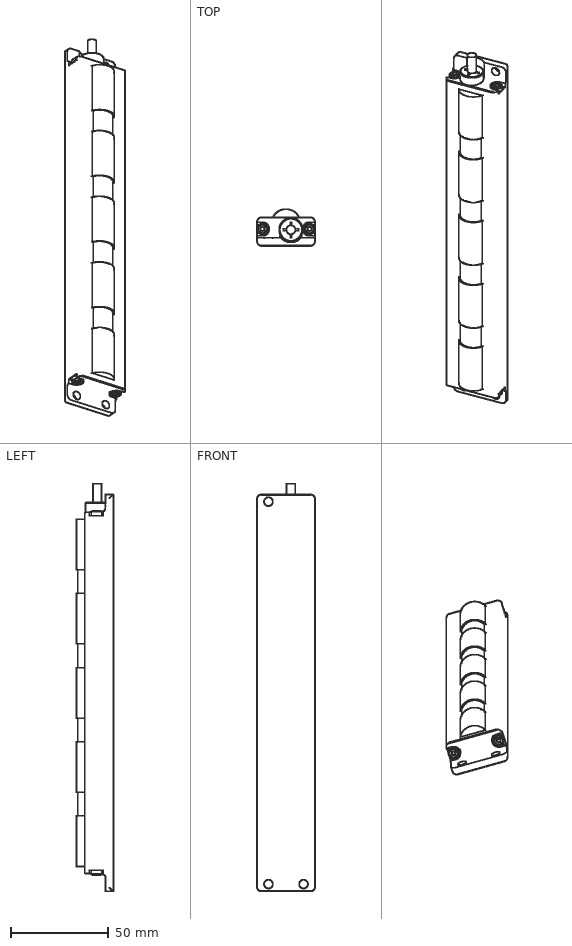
import cadquery as cq

width = 30.0
depth = 14.9
bar_length = 204.1
long_edge_radius = 2.7
corner_radius = 2.5
end_chamfer = 0.5
mid_height = bar_length / 2

plate_thickness = 4.2
step_at_plate = 8.5
step_at_back = 9.2
shoulder_radius = 1.5

hole_diameter = 4.5
hole_offset_x = 9.0
hole_inset_z = 3.8

screw_offset_x = 12.2
screw_y = 8.8
screw_head_radius = 2.7
screw_head_chamfer = 0.6
screw_head_height = 2.5
screw_socket_radius = 1.0
screw_socket_depth = 1.3
pocket_radius = 3.5
pocket_floor_inset = 11.0

total_height = 209.5
connector_x = 2.5
connector_y = 8.4
collar_radius = 6.0
collar_top = 200.0
collar_chamfer = 0.5
collar_clearance = 0.5
pin_radius = 2.3
collar_slot_reach = 4.0
collar_slot_width = 0.8
collar_slot_depth = 0.6

total_depth = 19.0
band_radius = 7.5
neck_radius = 7.0
band_count = 5
band_length = 26.0
band_pitch = 38.1
stepped_bar_y = total_depth - band_radius
stepped_bar_length = (band_count - 1) * band_pitch + band_length
stepped_bar_start = mid_height - stepped_bar_length / 2


def cylinder(x, y, z, radius, height):
    """Upright cylinder whose base centre is at (x, y, z)."""
    return cq.Workplane("XY", origin=(x, y, z)).circle(radius).extrude(height)


def mirror_to_top(shape):
    """Mirror a shape from the bottom end of the bar to the top end."""
    return shape.mirror("XY", (0, 0, mid_height))


def make_bar():
    """Full-length bar with rounded long edges and rounded end corners, bevelled along the front ends."""
    bar = (
        cq.Workplane("XY", origin=(0, depth / 2, 0))
        .rect(width, depth)
        .extrude(bar_length)
        .edges("|Z")
        .fillet(long_edge_radius)
    )
    rounded_front = (
        cq.Workplane("XZ", origin=(0, 0, mid_height))
        .rect(width, bar_length)
        .extrude(-depth)
        .edges("|Y")
        .fillet(corner_radius)
    )
    bar = bar.intersect(rounded_front)
    front_bevel = (
        cq.Workplane("YZ")
        .polyline([(0, 0), (end_chamfer, 0), (0, end_chamfer)])
        .close()
        .extrude(width / 2, both=True)
    )
    return bar.cut(front_bevel).cut(mirror_to_top(front_bevel))


def make_end_step():
    """Material removed behind the plate at the bottom end."""
    profile = [
        (plate_thickness, 0),
        (plate_thickness, step_at_plate),
        (depth - end_chamfer, step_at_back),
        (depth, step_at_back + end_chamfer),
        (depth, 0),
    ]
    step = cq.Workplane("YZ").polyline(profile).close().extrude(width / 2, both=True)
    return step.edges(cq.NearestToPointSelector((0, plate_thickness, step_at_plate))).fillet(shoulder_radius)


def make_screw_pocket(side):
    """U-shaped pocket at the bottom end; side is -1 or 1 along X."""
    screw_x = side * screw_offset_x
    mouth_length = width / 2 - screw_offset_x
    mouth = (
        cq.Workplane("XY")
        .center(screw_x + side * mouth_length / 2, screw_y)
        .rect(mouth_length, 2 * pocket_radius)
        .extrude(pocket_floor_inset)
    )
    return cylinder(screw_x, screw_y, 0, pocket_radius, pocket_floor_inset).union(mouth)


def make_screw_head(side):
    """Screw head with a round socket, seated on the pocket floor."""
    screw_x = side * screw_offset_x
    head_end = pocket_floor_inset - screw_head_height
    head = cylinder(screw_x, screw_y, head_end, screw_head_radius, screw_head_height)
    head = head.faces("<Z").chamfer(screw_head_chamfer)
    return head.cut(cylinder(screw_x, screw_y, head_end, screw_socket_radius, screw_socket_depth))


def make_connector():
    """Slotted collar with a central pin, rising from inside the housing."""
    base = bar_length - step_at_back
    collar = (
        cylinder(connector_x, connector_y, base, collar_radius, collar_top - base)
        .faces(">Z")
        .chamfer(collar_chamfer)
    )
    for slot_size in [
        (2 * collar_slot_reach, collar_slot_width),
        (collar_slot_width, 2 * collar_slot_reach),
    ]:
        slot = (
            cq.Workplane("XY", origin=(connector_x, connector_y, collar_top))
            .rect(*slot_size)
            .extrude(-collar_slot_depth)
        )
        collar = collar.cut(slot)
    return collar.union(cylinder(connector_x, connector_y, base, pin_radius, total_height - base))


def make_stepped_bar():
    """Round bar with wide bands separated by slightly thinner necks."""
    bar = cylinder(0, stepped_bar_y, stepped_bar_start, neck_radius, stepped_bar_length)
    for index in range(band_count):
        band_start = stepped_bar_start + index * band_pitch
        bar = bar.union(cylinder(0, stepped_bar_y, band_start, band_radius, band_length))
    return bar


def make_housing():
    """Bar with stepped ends, screws, connector, holes and a seat for the stepped bar."""
    housing = make_bar()
    end_step = make_end_step()
    housing = housing.cut(end_step).cut(mirror_to_top(end_step))

    for side in (-1, 1):
        pocket = make_screw_pocket(side)
        head = make_screw_head(side)
        housing = housing.cut(pocket).union(head)
        housing = housing.cut(mirror_to_top(pocket)).union(mirror_to_top(head))

    recess_floor = bar_length - step_at_plate
    recess_radius = collar_radius + collar_clearance
    housing = housing.cut(
        cylinder(connector_x, connector_y, recess_floor, recess_radius, step_at_plate)
    ).union(make_connector())

    low_hole_z = hole_inset_z
    high_hole_z = bar_length - hole_inset_z
    hole_places = [
        (-hole_offset_x, low_hole_z),
        (hole_offset_x, low_hole_z),
        (-hole_offset_x, high_hole_z),
    ]
    holes = cq.Workplane("XZ").pushPoints(hole_places).circle(hole_diameter / 2).extrude(-plate_thickness)
    housing = housing.cut(holes)

    return housing.cut(make_stepped_bar())


housing = make_housing()
stepped_bar = make_stepped_bar()

result = cq.Compound.makeCompound([housing.val(), stepped_bar.val()])